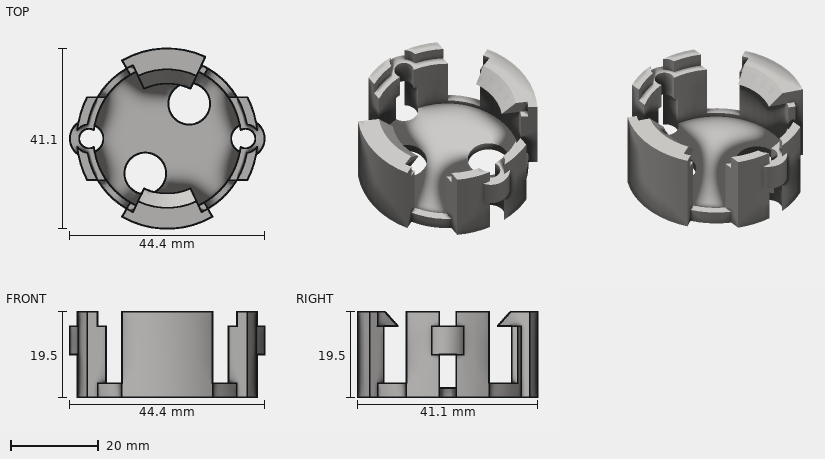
import cadquery as cq
import math

height = 19.49
outer_diameter = 41.11
overall_length = 44.39

outer_radius = outer_diameter / 2
ring_radius = 18.45
inner_radius = 16.8

floor_thickness = height / 9
ring_height = height / 6
ledge_depth = height / 6
ledge_level = height - ledge_depth

floor_hole_radius = 4.72
floor_hole_x = 5.0
floor_hole_y = 7.93

side_wall_width = 18.87
boss_radius = 4.37
boss_hole_radius = 2.2
clearance_radius = 3.25
boss_bottom = height / 2
boss_x = overall_length / 2 - boss_radius

back_clip_angle = 90.0
front_clip_angle = 270.0
clip_half_angle = 30.1
hook_half_angle = 25.0
hook_tip_radius = 12.52
hook_top_radius = hook_tip_radius + ledge_depth


def disc(radius, bottom, top, x=0.0, y=0.0):
    """Upright cylinder between two levels."""
    return cq.Workplane("XY").workplane(offset=bottom).center(x, y).circle(radius).extrude(top - bottom)


def wedge(start_angle, end_angle):
    """Full-height triangle from the axis out past the walls, angles in degrees from +X."""

    def far_point(angle):
        return (outer_diameter * math.cos(math.radians(angle)), outer_diameter * math.sin(math.radians(angle)))

    return (
        cq.Workplane("XY")
        .polyline([(0, 0), far_point(start_angle), far_point(end_angle)])
        .close()
        .extrude(height)
    )


def wall_gaps(back_clip_right_half_angle):
    """Space between the walls; the +X end of the +Y clip has its own half angle."""
    side_band = cq.Workplane("XY").box(
        2 * outer_diameter, side_wall_width, height, centered=(True, True, False)
    )
    back_clip = wedge(back_clip_angle - back_clip_right_half_angle, back_clip_angle + clip_half_angle)
    front_clip = wedge(front_clip_angle - clip_half_angle, front_clip_angle + clip_half_angle)
    return disc(overall_length, 0, height).cut(side_band).cut(back_clip).cut(front_clip)


def make_cup():
    """Round cup split into four walls, with a low rim left between them."""
    cup = disc(outer_radius, 0, height).cut(disc(inner_radius, floor_thickness, height))

    cup = cup.cut(wall_gaps(clip_half_angle).intersect(disc(overall_length, ring_height, height)))

    cup = cup.cut(wall_gaps(hook_half_angle).cut(disc(ring_radius, 0, height)))

    return cup.cut(disc(ring_radius, ledge_level, height))


def add_floor_holes(body):
    """Cut the two openings through the floor."""
    for side in (1, -1):
        hole = disc(floor_hole_radius, 0, floor_thickness, side * floor_hole_x, side * floor_hole_y)
        body = body.cut(hole)
    return body


def add_boss(body, side):
    """Split one side wall with a clearance bore and bridge the gap with a drilled boss."""
    x = side * boss_x
    boss = disc(boss_radius, boss_bottom, ledge_level, x)
    boss = boss.cut(disc(boss_hole_radius, boss_bottom, ledge_level, x))
    boss = boss.cut(disc(inner_radius, boss_bottom, ledge_level))
    return body.cut(disc(clearance_radius, 0, height, x)).union(boss)


def make_hook(middle_angle):
    """Inward hook with a flat underside and a sloping lead-in, as a revolved profile."""
    return (
        cq.Workplane("XZ")
        .polyline(
            [
                (hook_tip_radius, ledge_level),
                (ring_radius, ledge_level),
                (ring_radius, height),
                (hook_top_radius, height),
            ]
        )
        .close()
        .revolve(2 * hook_half_angle, (0, 0, 0), (0, 1, 0))
        .rotate((0, 0, 0), (0, 0, 1), middle_angle - hook_half_angle)
    )


body = add_floor_holes(make_cup())
for side in (1, -1):
    body = add_boss(body, side)
for middle_angle in (back_clip_angle, front_clip_angle):
    body = body.union(make_hook(middle_angle))

result = body